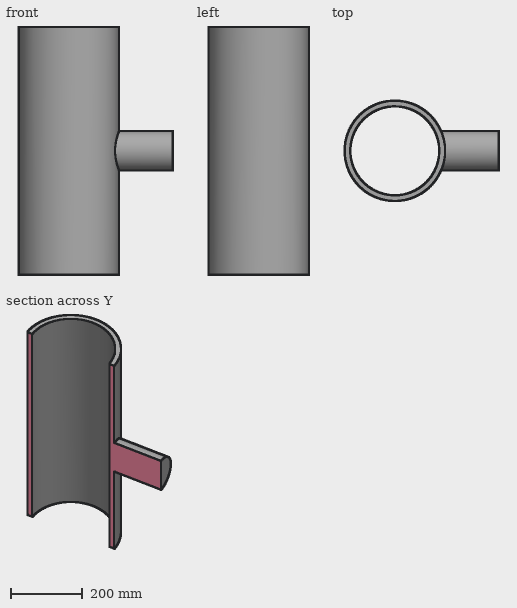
import cadquery as cq

pipe_length = 690.0
pipe_diameter = 280.0
wall_thickness = 16.5
bore_diameter = pipe_diameter - 2 * wall_thickness

branch_diameter = 110.5
branch_reach = 290.0


def upright_cylinder(diameter):
    return cq.Workplane("XY").circle(diameter / 2).extrude(pipe_length / 2, both=True)


def side_branch():
    return cq.Workplane("YZ").circle(branch_diameter / 2).extrude(branch_reach)


result = (
    upright_cylinder(pipe_diameter)
    .union(side_branch())
    .cut(upright_cylinder(bore_diameter))
)